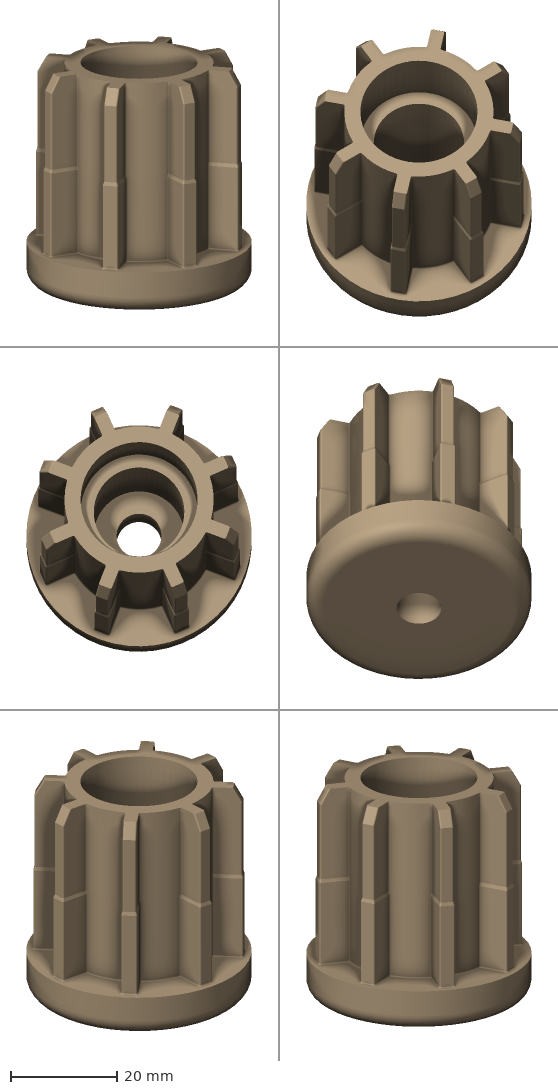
import cadquery as cq
import math

flange_radius = 21.2
flange_height = 8.0
flange_round = 3.0

total_height = 43.0
stem_radius = 14.0
bore_radius = 11.0
bore_depth = 12.05
pocket_radius = 8.5
hole_radius = 4.2

rib_count = 8
rib_width = 3.0
rib_reach = 19.82
step_inset = 0.2
step_bottom = 24.35
step_height = 0.7
tip_chamfer_height = 3.05
tip_chamfer_depth = 1.7
edge_round = 0.3

step_top = step_bottom + step_height
upper_rib_reach = rib_reach - step_inset
rib_root = (stem_radius + bore_radius) / 2

tolerance = 0.005


def cylinder(radius, bottom, top):
    return cq.Workplane("XY", origin=(0, 0, bottom)).circle(radius).extrude(top - bottom)


def make_flange():
    flange = cylinder(flange_radius, 0, flange_height)
    return flange.faces("<Z").edges().fillet(flange_round)


def rib_section(height, inset):
    """Rectangular cross-section of a rib along +X, rooted inside the stem wall."""
    reach = rib_reach - inset
    plane = cq.Workplane("XY", origin=((rib_root + reach) / 2, 0, height))
    return plane.rect(reach - rib_root, rib_width - 2 * inset)


def make_rib_tip_cut():
    """Wedge that slopes the outer top corner of a rib."""
    return (
        cq.Workplane("XZ")
        .moveTo(upper_rib_reach, total_height - tip_chamfer_height)
        .lineTo(upper_rib_reach, total_height)
        .lineTo(upper_rib_reach - tip_chamfer_depth, total_height)
        .close()
        .extrude(rib_width, both=True)
    )


def make_rib():
    """One rib along +X with its outer vertical and sloping edges rounded."""
    lower = rib_section(flange_height, 0).extrude(step_bottom - flange_height)
    step_wires = [rib_section(step_bottom, 0).val(), rib_section(step_top, step_inset).val()]
    step = cq.Workplane(cq.Solid.makeLoft(step_wires, True))
    upper = rib_section(step_top, step_inset).extrude(total_height - step_top)
    rib = lower.union(step).union(upper.cut(make_rib_tip_cut()))
    outer_end = cq.selectors.BoxSelector(
        (upper_rib_reach - tip_chamfer_depth, -rib_width, flange_height),
        (rib_reach + tolerance, rib_width, total_height),
    )
    return rib.edges(outer_end).edges("not #Z").fillet(edge_round)


def is_foot_edge(edge):
    """True where the stem or a rib stands on the flange."""
    box = edge.BoundingBox()
    on_flange = abs(box.zmin - flange_height) < tolerance and box.zlen < tolerance
    is_rim = box.xlen > 2 * rib_reach
    return on_flange and not is_rim


def is_rib_root_edge(edge):
    """True where the side of a rib meets the outside of the stem."""
    middle = edge.positionAt(0.5)
    on_stem = abs(math.hypot(middle.x, middle.y) - stem_radius) < tolerance
    is_upright = edge.BoundingBox().zlen > tolerance
    return on_stem and is_upright and middle.z > flange_height


def round_inner_corners(body):
    corner_edges = [
        edge
        for edge in body.edges().vals()
        if is_foot_edge(edge) or is_rib_root_edge(edge)
    ]
    return body.newObject(corner_edges).fillet(edge_round)


body = make_flange().union(cylinder(stem_radius, flange_height, total_height))
rib = make_rib()
for index in range(rib_count):
    body = body.union(rib.rotate((0, 0, 0), (0, 0, 1), index * 360 / rib_count))
body = round_inner_corners(body)

result = (
    body.cut(cylinder(bore_radius, total_height - bore_depth, total_height))
    .cut(cylinder(pocket_radius, flange_height, total_height))
    .cut(cylinder(hole_radius, 0, total_height))
)